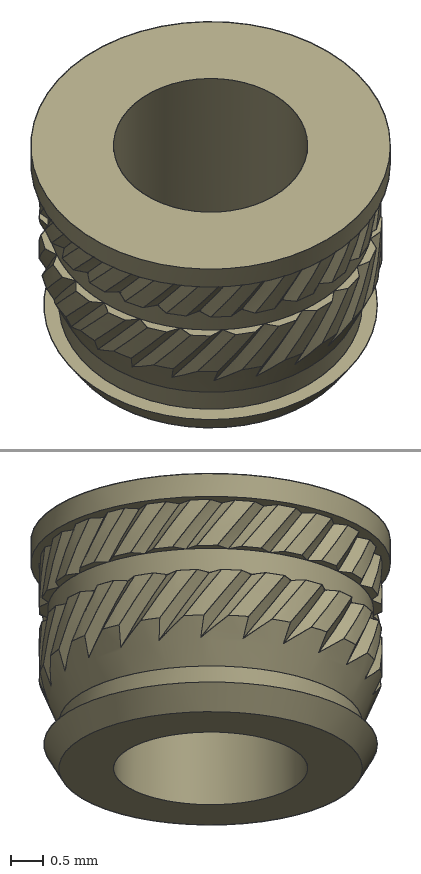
import cadquery as cq
import math


flange_radius = 2.78
bore_radius = 1.5
crest_radius = 2.65
root_radius = 2.52
neck_radius = 2.345
lip_radius = 2.58

total_height = 3.8
lip_height = 0.4
neck_height = 0.36
taper_height = 0.73
band_height = 0.76
relief_height = 0.4

neck_bottom = lip_height
taper_bottom = neck_bottom + neck_height
lower_band_bottom = taper_bottom + taper_height
relief_bottom = lower_band_bottom + band_height
upper_band_bottom = relief_bottom + relief_height
flange_bottom = upper_band_bottom + band_height

tooth_count = 24
tooth_pitch = 360 / tooth_count
groove_angle = 8.2
twist_per_height = 16.73
runout_height = taper_bottom + taper_height * (root_radius - neck_radius) / (crest_radius - neck_radius)
runout_angle = tooth_pitch / 2


def cylinder(radius, bottom, top):
    return cq.Workplane("XY").workplane(offset=bottom).circle(radius).extrude(top - bottom)


def cone(bottom_radius, top_radius, bottom, top):
    outline = [(0, bottom), (bottom_radius, bottom), (top_radius, top), (0, top)]
    return cq.Workplane("XZ").polyline(outline).close().revolve(360, (0, 0), (0, 1))


def polar(radius, angle):
    return (radius * math.cos(math.radians(angle)), radius * math.sin(math.radians(angle)))


def knurled_band(bottom, top):
    """Column of helical teeth with round crests and V grooves."""
    first_root = runout_angle + twist_per_height * (bottom - runout_height)
    half_groove = groove_angle / 2
    section = cq.Workplane("XY").workplane(offset=bottom).moveTo(*polar(root_radius, first_root))
    for tooth in range(tooth_count):
        root = first_root + tooth * tooth_pitch
        next_root = root + tooth_pitch
        section = section.lineTo(*polar(crest_radius, root + half_groove))
        section = section.threePointArc(
            polar(crest_radius, root + tooth_pitch / 2),
            polar(crest_radius, next_root - half_groove),
        )
        if tooth < tooth_count - 1:
            section = section.lineTo(*polar(root_radius, next_root))
    height = top - bottom
    return section.close().twistExtrude(height, twist_per_height * height)


taper = cone(neck_radius, crest_radius, taper_bottom, lower_band_bottom)
lower_envelope = taper.union(cylinder(flange_radius, lower_band_bottom, relief_bottom))
lower_band = knurled_band(taper_bottom, relief_bottom).intersect(lower_envelope)

upper_band = knurled_band(upper_band_bottom, flange_bottom)

lip = cone(neck_radius, lip_radius, 0, lip_height)
neck = cylinder(neck_radius, neck_bottom, taper_bottom)
relief = cylinder(root_radius, relief_bottom, upper_band_bottom)
flange = cylinder(flange_radius, flange_bottom, total_height)
bore = cylinder(bore_radius, 0, total_height)

result = lip.union(neck).union(lower_band).union(relief).union(upper_band).union(flange).cut(bore)